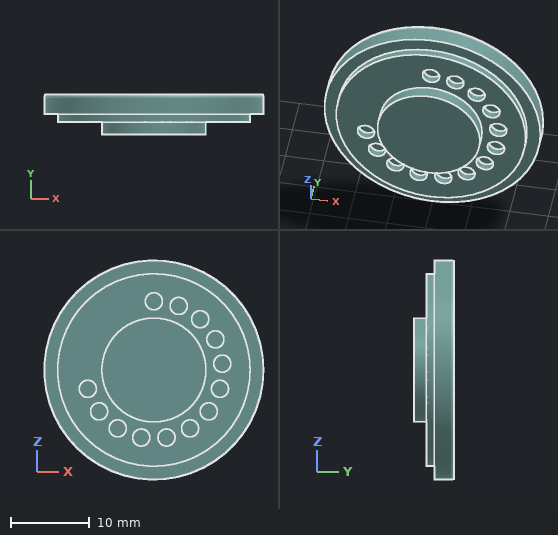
import cadquery as cq
import math

DISC_DIAMETER = 27.95
DISC_THICKNESS = 2.51
STEP_DIAMETER = 24.5
STEP_HEIGHT = 1.0
BOSS_DIAMETER = 13.25
BOSS_HEIGHT = 1.6

BEVEL_LENGTH = 0.3
BEVEL_INSET = 0.08

HOLE_DIAMETER = 2.18
HOLE_DEPTH = STEP_HEIGHT
PITCH_RADIUS = 8.75
HOLE_POSITIONS = 17
HOLE_COUNT = 13

TOTAL_THICKNESS = DISC_THICKNESS + STEP_HEIGHT + BOSS_HEIGHT
BOSS_FACE = -TOTAL_THICKNESS / 2
STEP_FACE = BOSS_FACE + BOSS_HEIGHT
DISC_FACE = STEP_FACE + STEP_HEIGHT
BACK_FACE = DISC_FACE + DISC_THICKNESS


def stepped_body():
    """Revolve the half profile of disc, step and boss about Y."""
    disc_radius = DISC_DIAMETER / 2
    step_radius = STEP_DIAMETER / 2
    boss_radius = BOSS_DIAMETER / 2
    profile = [
        (0, BOSS_FACE),
        (boss_radius, BOSS_FACE),
        (boss_radius, STEP_FACE),
        (step_radius, STEP_FACE),
        (step_radius, DISC_FACE),
        (disc_radius, DISC_FACE),
        (disc_radius, BACK_FACE - BEVEL_LENGTH),
        (disc_radius - BEVEL_INSET, BACK_FACE),
        (0, BACK_FACE),
    ]
    return cq.Workplane("XY").polyline(profile).close().revolve(360, (0, 0), (0, 1))


def hole_cutters():
    """Cylinders running clockwise from the top (+Z), sunk into the step face."""
    centers = []
    for index in range(HOLE_COUNT):
        angle = index * 2 * math.pi / HOLE_POSITIONS
        centers.append((PITCH_RADIUS * math.sin(angle), PITCH_RADIUS * math.cos(angle)))
    plane = cq.Workplane("XZ", origin=(0, STEP_FACE, 0))
    return plane.pushPoints(centers).circle(HOLE_DIAMETER / 2).extrude(-HOLE_DEPTH)


result = stepped_body().cut(hole_cutters())